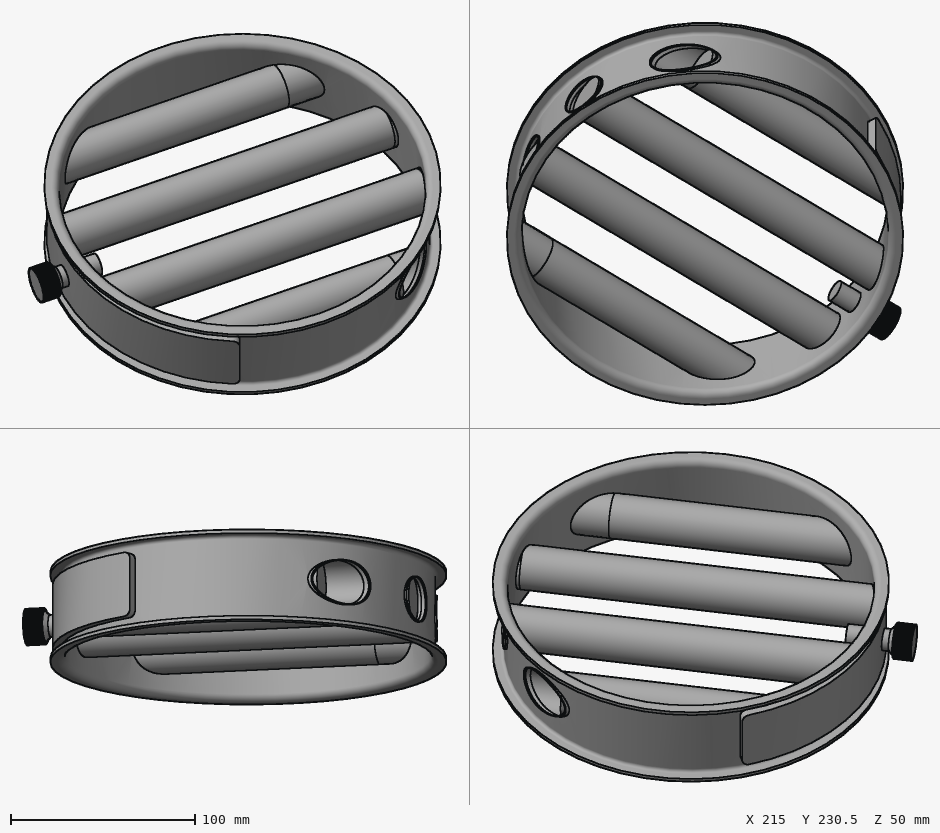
import cadquery as cq
import math

flange_radius = 215.0 / 2
wall_outer_radius = 203.0 / 2
wall_inner_radius = 199.0 / 2
wall_middle_radius = (wall_inner_radius + wall_outer_radius) / 2
ring_height = 50.0
flange_thickness = 2.0
outer_bend_radius = 1.8
inner_bend_radius = outer_bend_radius + flange_thickness

plate_outer_radius = 106.3
plate_half_width = 96.1
plate_height = 35.5
plate_corner_radius = 4.0

tube_diameter = 25.0
bar_diameter = 24.0
tube_pitch = 50.0
tube_end_radius = wall_outer_radius + 1.0
inner_bar_end = 96.8
outer_bar_end = 56.5
bar_end_length = 7
bars = [
    (-1.5 * tube_pitch, outer_bar_end),
    (-0.5 * tube_pitch, inner_bar_end),
    (0.5 * tube_pitch, inner_bar_end),
    (1.5 * tube_pitch, outer_bar_end),
]

knob_face = 230.5 - flange_radius
knob_back = knob_face - 10.5
flare_start = knob_back - 2.5
screw_tip = 86.2
screw_radius = 12.2 / 2
flare_radius = 8.5

knob_radius = 20.0 / 2
knob_chamfer = 0.7
knurl_count = 60
knurl_depth = 0.58
groove_centre = knob_face - 2.5
groove_half_width = 0.5
groove_depth = 0.7


def disc(radius, height):
    """Cylinder about Z, centred on the XY plane."""
    return cq.Workplane("XY", origin=(0, 0, -height / 2)).circle(radius).extrude(height)


def cylinder_along_y(x, radius, y_start, y_end):
    """Cylinder parallel to Y at the mid-height of the ring."""
    return (
        cq.Workplane("XZ", origin=(x, y_start, 0)).circle(radius).extrude(y_start - y_end)
    )


def make_ring():
    """Thin wall that bends outward into a flange at both rims."""
    spool = disc(flange_radius, ring_height)
    neck_height = ring_height - 2 * flange_thickness
    spool = spool.cut(disc(flange_radius, neck_height).cut(disc(wall_outer_radius, neck_height)))
    smallest_circles = cq.selectors.RadiusNthSelector(0)
    spool = spool.edges(smallest_circles).fillet(outer_bend_radius)
    ring = spool.cut(disc(wall_inner_radius, ring_height))
    return ring.faces(">Z or <Z").edges(smallest_circles).fillet(inner_bend_radius)


def make_plate():
    """Band wrapped on the outside of the wall, with radial ends and rounded corners."""
    end_depth = math.sqrt(plate_outer_radius**2 - plate_half_width**2)
    reach = flange_radius / end_depth
    sector = (
        cq.Workplane("XY", origin=(0, 0, -plate_height / 2))
        .polyline([
            (0, 0),
            (reach * plate_half_width, -reach * end_depth),
            (-reach * plate_half_width, -reach * end_depth),
        ])
        .close()
        .extrude(plate_height)
    )
    shell = disc(plate_outer_radius, plate_height)
    shell = shell.cut(disc(wall_middle_radius, plate_height))
    band = shell.intersect(sector)
    end_corners = cq.selectors.BoxSelector(
        (-flange_radius, -end_depth - 2.3, -ring_height),
        (flange_radius, 0, ring_height),
    )
    short_edges = band.edges("#Z").edges("%LINE").edges(end_corners)
    return short_edges.fillet(plate_corner_radius)


def make_tubes():
    """Closed tubes: the front ends stop inside the wall, the back ends pass just through it."""
    front_parts = cq.Workplane("XY")
    back_parts = cq.Workplane("XY")
    for x, _ in bars:
        front_parts = front_parts.union(cylinder_along_y(x, tube_diameter / 2, -flange_radius, 0))
        back_parts = back_parts.union(cylinder_along_y(x, tube_diameter / 2, 0, flange_radius))
    front_parts = front_parts.intersect(disc(wall_middle_radius, ring_height))
    back_parts = back_parts.intersect(disc(tube_end_radius, ring_height))
    return front_parts.union(back_parts)


def make_bar_ends():
    """Flat ends of the bars that fill the tubes, where they rise past the trimmed tube rims."""
    ends = cq.Workplane("XY")
    for x, bar_end in bars:
        ends = ends.union(cylinder_along_y(x, bar_diameter / 2, bar_end - bar_end_length, bar_end))
    return ends


def make_sockets():
    """Open space in each tube between the bar end and the back of the ring."""
    sockets = cq.Workplane("XY")
    for x, bar_end in bars:
        sockets = sockets.union(cylinder_along_y(x, bar_diameter / 2, bar_end, flange_radius))
    return sockets


def make_knob():
    """Knurled cylinder with a chamfered back rim and a narrow groove near its face."""
    points = []
    for i in range(2 * knurl_count):
        radius = knob_radius - knurl_depth * (i % 2)
        angle = math.pi * i / knurl_count
        points.append((radius * math.cos(angle), radius * math.sin(angle)))
    knurled = (
        cq.Workplane("XZ", origin=(0, -knob_back, 0))
        .polyline(points)
        .close()
        .extrude(knob_face - knob_back)
    )
    envelope = (
        cq.Workplane("XY")
        .polyline([
            (0, -knob_back),
            (knob_radius - knob_chamfer, -knob_back),
            (knob_radius, -knob_back - knob_chamfer),
            (knob_radius, -groove_centre + groove_half_width),
            (knob_radius - groove_depth, -groove_centre),
            (knob_radius, -groove_centre - groove_half_width),
            (knob_radius, -knob_face),
            (0, -knob_face),
        ])
        .close()
        .revolve(360, (0, 0, 0), (0, 1, 0))
    )
    return knurled.intersect(envelope)


def make_screw():
    """Shank through the plate and wall, flaring out into the knob."""
    shank = (
        cq.Workplane("XY")
        .polyline([
            (0, -screw_tip),
            (screw_radius, -screw_tip),
            (screw_radius, -flare_start),
            (flare_radius, -knob_back),
            (0, -knob_back),
        ])
        .close()
        .revolve(360, (0, 0, 0), (0, 1, 0))
    )
    return shank.union(make_knob())


result = (
    make_ring()
    .union(make_tubes())
    .union(make_bar_ends())
    .cut(make_sockets())
    .union(make_plate())
    .union(make_screw())
)